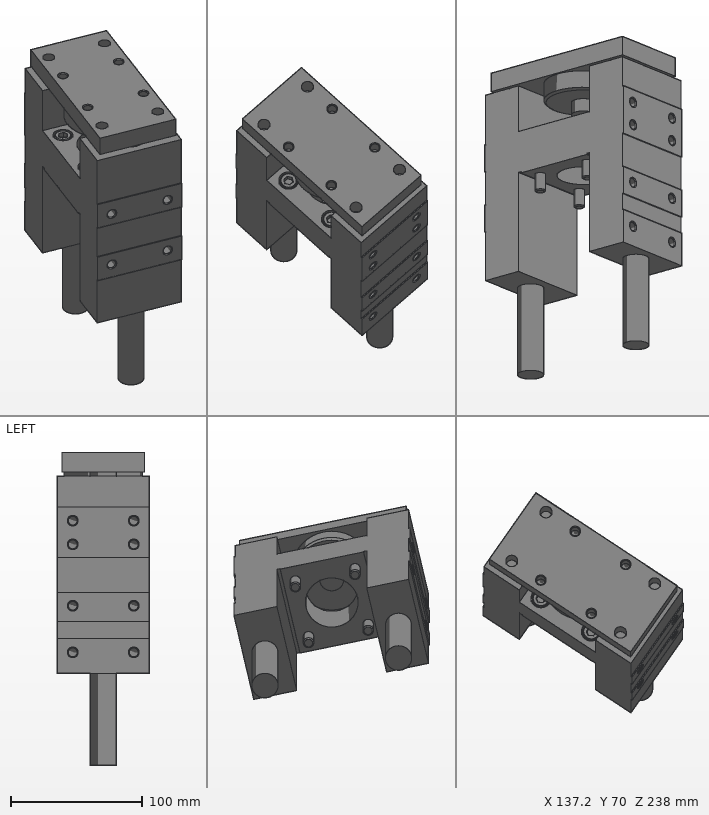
import cadquery as cq
import math


BODY_WIDTH = 135.2
BODY_DEPTH = 70.0
BODY_HEIGHT = 150.0
BODY_BOTTOM = 70.0
LEG_GAP = 70.0
CROSSBAR_TOP = 183.0
CROSSBAR_BOTTOM = 150.0
FLANGE_PAD_WIDTH = 65.0
PAD_STEP = 1.0
CYLINDER_BORE_DIAMETER = 40.0

LEFT_PADS = [(BODY_BOTTOM, 96.6), (109.5, 131.4), (158.0, 196.5)]
RIGHT_PADS = [(109.5, 131.4), (158.0, 180.0)]
LEFT_HOLE_HEIGHTS = [86.0, 121.4, 168.0, 186.0]
RIGHT_HOLE_HEIGHTS = [121.4, 168.0]

HOLE_PITCH = 46.5
HALF_PITCH = HOLE_PITCH / 2
SQUARE_PATTERN = [(x, y) for x in (-HALF_PITCH, HALF_PITCH) for y in (-HALF_PITCH, HALF_PITCH)]

CORE_DIAMETER = 6.7
MOUTH_DIAMETER = 8.0
DRILL_POINT_ANGLE = 118.0
SIDE_HOLE_DEPTH = 15.0
PLATE_HOLE_DEPTH = 10.0

TOTAL_HEIGHT = 238.0
PLATE_LENGTH = 130.0
PLATE_DEPTH = 63.0
PLATE_THICKNESS = 15.0
HUB_DIAMETER = 60.0
HUB_HEIGHT = 15.0
HUB_CHAMFER = 1.7
STUB_DIAMETER = 18.0
STUB_LENGTH = 10.0
ROD_DIAMETER = 20.0
ROD_SPACING = 104.0
THROUGH_HOLE_DIAMETER = 9.0
THROUGH_HOLE_SPACING = 100.0

SCREW_DIAMETER = 8.0
SCREW_LENGTH = 40.0
SCREW_TIP_CHAMFER = 1.0
HEAD_DIAMETER = 13.0
HEAD_HEIGHT = 8.0
HEAD_CHAMFER = 0.7
COUNTERBORE_DIAMETER = 15.0
HEX_ACROSS_FLATS = 6.5
HEX_DEPTH = 4.0
HALF_HEX_ANGLE = 30.0

BODY_TOP = BODY_BOTTOM + BODY_HEIGHT
PLATE_BOTTOM = TOTAL_HEIGHT - PLATE_THICKNESS
PAD_BOTTOM = CROSSBAR_BOTTOM - PAD_STEP
SCREW_SEAT = CROSSBAR_TOP - HEAD_HEIGHT
ROD_CENTRES = [(-ROD_SPACING / 2, 0), (ROD_SPACING / 2, 0)]


def block(x_range, depth, z_range):
    """Box centred on Y = 0 that spans the given X and Z ranges."""
    x_low, x_high = x_range
    z_low, z_high = z_range
    return (
        cq.Workplane("XY", origin=((x_low + x_high) / 2, 0, z_low))
        .box(x_high - x_low, depth, z_high - z_low, centered=(True, True, False))
    )


def cylinders(centres, diameter, z_low, z_high):
    """Vertical cylinders at the given XY centres."""
    return (
        cq.Workplane("XY", origin=(0, 0, z_low))
        .pushPoints(centres)
        .circle(diameter / 2)
        .extrude(z_high - z_low)
    )


def tapped_hole(mouth, direction, depth):
    """Cutter for a blind tapped hole that enters at `mouth` along `direction`."""
    core_radius = CORE_DIAMETER / 2
    mouth_radius = MOUTH_DIAMETER / 2
    countersink_depth = mouth_radius - core_radius
    point_depth = core_radius / math.tan(math.radians(DRILL_POINT_ANGLE / 2))
    profile = (
        cq.Workplane("XZ")
        .moveTo(0, 0)
        .lineTo(mouth_radius, 0)
        .lineTo(core_radius, countersink_depth)
        .lineTo(core_radius, depth)
        .lineTo(0, depth + point_depth)
        .close()
    )
    cutter = profile.revolve(360, (0, 0, 0), (0, 1, 0)).val()
    return cutter.moved(cq.Plane(origin=mouth, normal=direction).location)


def make_housing():
    half_width = BODY_WIDTH / 2
    housing = block((-half_width, half_width), BODY_DEPTH, (BODY_BOTTOM, BODY_TOP))

    opening = (-LEG_GAP / 2, LEG_GAP / 2)
    flange_pad = (-FLANGE_PAD_WIDTH / 2, FLANGE_PAD_WIDTH / 2)
    housing = housing.cut(block(opening, BODY_DEPTH, (CROSSBAR_TOP, BODY_TOP)))
    housing = housing.cut(block(opening, BODY_DEPTH, (BODY_BOTTOM, CROSSBAR_BOTTOM)))
    housing = housing.union(block(flange_pad, BODY_DEPTH, (PAD_BOTTOM, CROSSBAR_BOTTOM)))

    outer_face = half_width + PAD_STEP
    for z_range in LEFT_PADS:
        housing = housing.union(block((-outer_face, -half_width), BODY_DEPTH, z_range))
    for z_range in RIGHT_PADS:
        housing = housing.union(block((half_width, outer_face), BODY_DEPTH, z_range))

    for side, heights in ((-1, LEFT_HOLE_HEIGHTS), (1, RIGHT_HOLE_HEIGHTS)):
        for z in heights:
            for y in (-HALF_PITCH, HALF_PITCH):
                mouth = (side * outer_face, y, z)
                housing = housing.cut(cq.Workplane(tapped_hole(mouth, (-side, 0, 0), SIDE_HOLE_DEPTH)))

    housing = housing.cut(cylinders(ROD_CENTRES, ROD_DIAMETER, BODY_BOTTOM, BODY_TOP))
    housing = housing.cut(cylinders([(0, 0)], CYLINDER_BORE_DIAMETER, PAD_BOTTOM, CROSSBAR_TOP))
    housing = housing.cut(cylinders(SQUARE_PATTERN, SCREW_DIAMETER, PAD_BOTTOM, SCREW_SEAT))
    return housing.cut(cylinders(SQUARE_PATTERN, COUNTERBORE_DIAMETER, SCREW_SEAT, CROSSBAR_TOP))


def make_slide():
    half_length = PLATE_LENGTH / 2
    plate = block((-half_length, half_length), PLATE_DEPTH, (PLATE_BOTTOM, TOTAL_HEIGHT))

    for x in (-THROUGH_HOLE_SPACING / 2, THROUGH_HOLE_SPACING / 2):
        centres = [(x, -HALF_PITCH), (x, HALF_PITCH)]
        plate = plate.cut(cylinders(centres, THROUGH_HOLE_DIAMETER, PLATE_BOTTOM, TOTAL_HEIGHT))

    for x, y in SQUARE_PATTERN:
        cutter = tapped_hole((x, y, TOTAL_HEIGHT), (0, 0, -1), PLATE_HOLE_DEPTH)
        plate = plate.cut(cq.Workplane(cutter))

    hub_bottom = PLATE_BOTTOM - HUB_HEIGHT
    hub = cylinders([(0, 0)], HUB_DIAMETER, hub_bottom, PLATE_BOTTOM)
    hub = hub.faces("<Z").chamfer(HUB_CHAMFER)
    stub = cylinders([(0, 0)], STUB_DIAMETER, hub_bottom - STUB_LENGTH, hub_bottom)
    rods = cylinders(ROD_CENTRES, ROD_DIAMETER, 0, PLATE_BOTTOM)
    return plate.union(hub).union(stub).union(rods)


def make_screw(x, y):
    """Socket-head cap screw seated in the counterbore at (x, y)."""
    shank = cylinders([(x, y)], SCREW_DIAMETER, SCREW_SEAT - SCREW_LENGTH, SCREW_SEAT)
    shank = shank.faces("<Z").chamfer(SCREW_TIP_CHAMFER)
    head = cylinders([(x, y)], HEAD_DIAMETER, SCREW_SEAT, CROSSBAR_TOP)
    head = head.faces(">Z").chamfer(HEAD_CHAMFER)
    hex_corner_diameter = HEX_ACROSS_FLATS / math.cos(math.radians(HALF_HEX_ANGLE))
    socket = (
        cq.Workplane("XY", origin=(x, y, CROSSBAR_TOP - HEX_DEPTH))
        .transformed(rotate=(0, 0, HALF_HEX_ANGLE))
        .polygon(6, hex_corner_diameter)
        .extrude(HEX_DEPTH)
    )
    return shank.union(head).cut(socket)


housing = make_housing()
slide = make_slide()
screws = [make_screw(x, y) for x, y in SQUARE_PATTERN]

result = cq.Compound.makeCompound([housing.val(), slide.val(), *[screw.val() for screw in screws]])